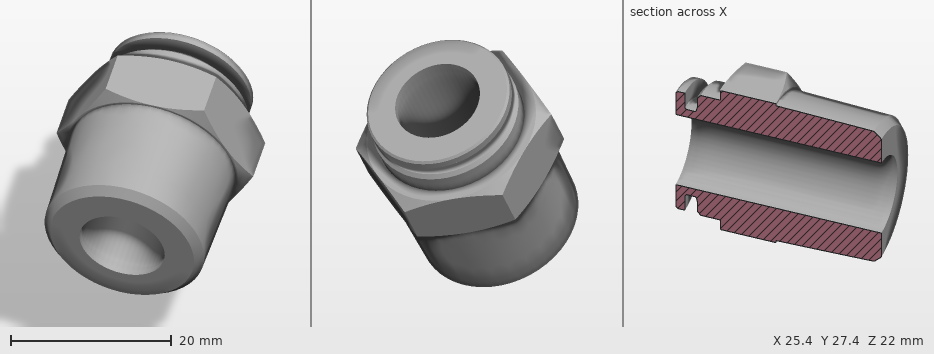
import cadquery as cq
import math

total_length = 27.4
hex_start = 14.03
hex_end = 21.5
collar_end = 24.52
flange_start = 26.17

across_flats = 22.0
hex_chamfer_angle = 30.0

bore_radius = 5.5
thread_tip_radius = 10.3
thread_root_radius = 10.69
thread_chamfer = 1.01
collar_radius = 9.5
collar_chamfer = 0.47
neck_radius = 6.77
lip_radius = 7.67
lip_height = 0.22
neck_chamfer = 0.2
flange_radius = 9.3
flange_chamfer = 0.27


def revolve_about_y(points):
    """Revolve a closed (radius, y) outline around the Y axis."""
    return cq.Workplane("XY").polyline(points).close().revolve(360, (0, 0, 0), (0, 1, 0))


def hexagon_body():
    """Hexagonal prism with its corners turned off by a cone at each end."""
    flat_radius = across_flats / 2
    corner_radius = flat_radius / math.cos(math.radians(30))
    chamfer_depth = (corner_radius - flat_radius) * math.tan(math.radians(hex_chamfer_angle))
    prism = (
        cq.Workplane("XZ", origin=(0, hex_start, 0))
        .polygon(6, 2 * corner_radius)
        .extrude(hex_start - hex_end)
    )
    envelope = revolve_about_y([
        (0, hex_start),
        (flat_radius, hex_start),
        (corner_radius, hex_start + chamfer_depth),
        (corner_radius, hex_end - chamfer_depth),
        (flat_radius, hex_end),
        (0, hex_end),
    ])
    return prism.intersect(envelope)


def turned_body():
    """Tapered thread blank, collar with a shallow conical lip, neck and release flange."""
    return revolve_about_y([
        (0, 0),
        (thread_tip_radius - thread_chamfer, 0),
        (thread_tip_radius, thread_chamfer),
        (thread_root_radius, hex_start),
        (collar_radius, hex_start),
        (collar_radius, collar_end - collar_chamfer),
        (collar_radius - collar_chamfer, collar_end),
        (lip_radius, collar_end),
        (neck_radius, collar_end + lip_height),
        (neck_radius, flange_start - neck_chamfer),
        (neck_radius + neck_chamfer, flange_start),
        (flange_radius, flange_start),
        (flange_radius, total_length - flange_chamfer),
        (flange_radius - flange_chamfer, total_length),
        (0, total_length),
    ])


def through_bore():
    return cq.Workplane("XZ").circle(bore_radius).extrude(-total_length)


fitting = turned_body().union(hexagon_body()).cut(through_bore())

result = fitting.translate((0, -total_length / 2, 0))